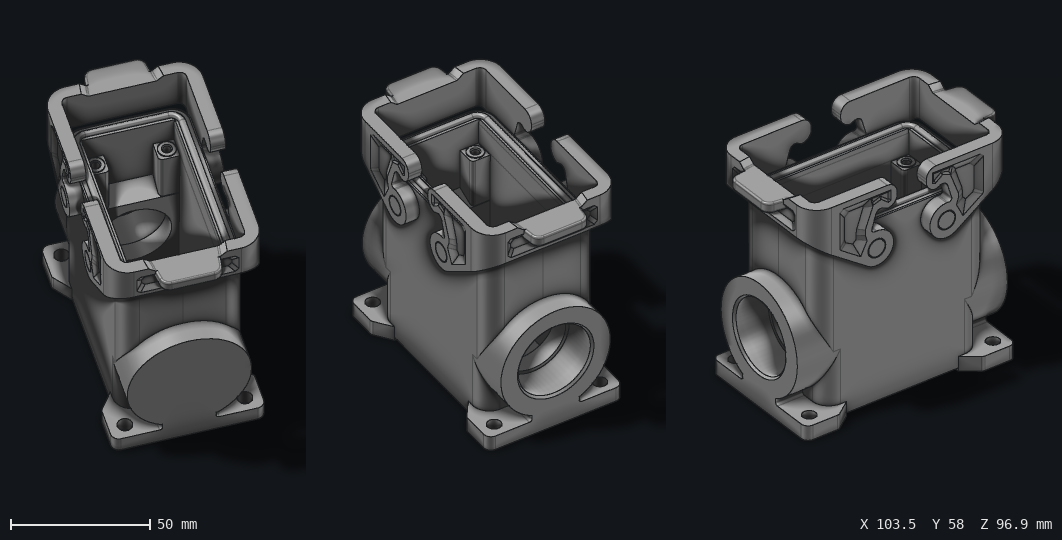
import cadquery as cq
import math

total_length = 103.5
total_height = 96.9

upper_half_x = 37.9
ridge_half_x = 38.2
lower_half_x = 34.8
body_half_y = 23.3
body_corner = 7.2
body_bottom = 1.3
rim_z = 79.9
rim_bevel_height = 0.2
rim_bevel_width = 0.6

bead_radius = 1.3
bead_half_x = 34.8
bead_half_y = 19.8
bead_corner = 4.1

cavity_half_x = 32.3
cavity_half_y = 17.1
cavity_mouth_half_y = 17.5
cavity_floor_half_x = 24.1
cavity_floor_half_y = 16.5
cavity_floor = 4.5
cavity_draft_z = 69.3
cavity_lip_z = 78.1
cavity_shoulder_z = 51.8
cavity_shoulder_drop = 3.7

post_x = 28.5
post_y = 13.4
post_inner_x = 24.3
post_inner_y = 9.2
post_corner = 1.6
seat_radius = 3.4
seat_height = 0.4
post_top = 69.3
screw_radius = 1.6
screw_depth = 10.4
screw_chamfer = 0.4

boss_end_x = 46.8
boss_radius = body_half_y
boss_z = 29.9
boss_root_x = 26.9
bore_radius = 15.3
bore_chamfer = 0.9
bore_end_x = 31.6
throat_radius = 13.9
neck_half_y = 10.0
neck_fillet = 1.1

foot_height = 6.3
foot_half_y = 28.7
foot_inner_x = 24.8
foot_bevel_x = 32.1
foot_bevel_fillet = 2.1
foot_corner = 3.1
foot_hole_x = 40.9
foot_hole_y = 22.5
foot_hole_radius = 2.8

lever_end_x = 44.7
lever_half_y = 29.0
lever_inner_x = 39.7
lever_outer_corner = 8.9
lever_inner_corner = 2.6
lever_end_bottom = 82.7
eye_x = 15.5
eye_z = 71.6
eye_radius = 7.5
pin_radius = 3.6
pin_clearance = 0.3
pin_groove_depth = 1.0
hook_tip_x = 6.5
hook_radius = 4.3
hook_bottom = 86.9
hook_throat = [(-12.8, 87.9), (-14.7, 87.9), (-16.0, 86.2)]
flank_end = (-17.8, 80.4)
flank_corner_mid = (-17.4, 79.4)
flank_corner_end_x = -16.1

cheek_depth = 1.6
cheek_mouth = [(-32.0, 92.9), (-30.3, 94.3), (-17.9, 94.3), (-17.3, 90.4), (-20.7, 81.5),
               (-20.7, 79.2), (-19.9, 76.6), (-22.8, 70.8), (-31.5, 76.8), (-32.0, 77.6)]
cheek_floor = [(-28.9, 89.0), (-26.9, 91.0), (-20.6, 91.0), (-20.5, 90.4), (-23.4, 82.1),
               (-23.8, 79.4), (-23.8, 77.6), (-25.0, 76.3), (-28.3, 78.0), (-28.9, 79.4)]
hook_recess = [(-18.6, 94.3), (-9.2, 94.3), (-9.2, 89.9), (-10.5, 89.4), (-13.7, 91.9), (-17.4, 90.7)]
hook_recess_depth = 0.5
hook_recess_taper = 60.0

end_recess_half_y = 19.0
end_recess_bottom = 84.4
end_recess_top = 93.0
end_recess_corner = 1.3
end_recess_depth = 1.6
end_recess_inset = 2.2

tab_top = 94.8
tab_bottom = 90.5
tab_tip_half_y = 11.2
tab_wall_half_y = 12.8
tab_corner = 3.6
tab_edge = 0.8
notch_flare = 2.6
notch_fillet = 1.0


def rounded_prism(half_x, half_y, corner, z_low, z_high):
    block = cq.Workplane("XY").box(2 * half_x, 2 * half_y, z_high - z_low, centered=(True, True, False))
    return block.edges("|Z").fillet(corner).translate((0, 0, z_low))


def mirrored_x(solid):
    return solid.union(solid.mirror("YZ"))


def housing_shell():
    corners = [
        (upper_half_x, body_half_y), (-upper_half_x, body_half_y), (-ridge_half_x, 0),
        (-upper_half_x, -body_half_y), (upper_half_x, -body_half_y), (ridge_half_x, 0),
    ]
    outline = cq.Sketch().polygon(corners + corners[:1]).vertices("<Y or >Y").fillet(body_corner)
    upper = cq.Workplane("XY", origin=(0, 0, boss_z)).placeSketch(outline).extrude(rim_z - boss_z)
    upper = upper.faces(">Z").edges().chamfer(rim_bevel_height, rim_bevel_width)
    lower = rounded_prism(lower_half_x, body_half_y, body_corner, body_bottom, boss_z)
    return upper.union(lower)


def sealing_bead():
    path = cq.Wire.assembleEdges(
        rounded_prism(bead_half_x, bead_half_y, bead_corner, rim_z, rim_z + bead_radius)
        .faces("<Z").wires().val().Edges()
    )
    start = path.startPoint()
    tangent = path.tangentAt(0)
    section = cq.Workplane(cq.Plane(origin=start, xDir=(0, 0, 1), normal=tangent)).circle(bead_radius)
    return section.sweep(cq.Workplane(path))


def cable_boss():
    length = boss_end_x - boss_root_x
    end_plane = cq.Workplane("YZ", origin=(-boss_end_x, 0, 0))
    boss = end_plane.center(0, boss_z).circle(boss_radius).extrude(length)
    fillet_centre_y = neck_half_y + neck_fillet
    fillet_centre_z = foot_height + neck_fillet
    fillet_mid_y = fillet_centre_y - neck_fillet * math.sqrt(0.5)
    fillet_mid_z = fillet_centre_z - neck_fillet * math.sqrt(0.5)
    neck = (
        end_plane
        .moveTo(-neck_half_y, boss_z)
        .lineTo(-neck_half_y, fillet_centre_z)
        .threePointArc((-fillet_mid_y, fillet_mid_z), (-fillet_centre_y, foot_height))
        .lineTo(-fillet_centre_y, body_bottom)
        .lineTo(fillet_centre_y, body_bottom)
        .lineTo(fillet_centre_y, foot_height)
        .threePointArc((fillet_mid_y, fillet_mid_z), (neck_half_y, fillet_centre_z))
        .lineTo(neck_half_y, boss_z)
        .close()
        .extrude(length)
    )
    return boss.union(neck)


def foot():
    plate = (
        cq.Workplane("XY")
        .polyline([
            (-boss_end_x, foot_half_y), (-foot_bevel_x, foot_half_y), (-foot_inner_x, body_half_y),
            (-foot_inner_x, -body_half_y), (-foot_bevel_x, -foot_half_y), (-boss_end_x, -foot_half_y),
        ])
        .close()
        .extrude(foot_height)
    )
    plate = plate.edges("|Z").edges("<X").fillet(foot_corner)
    plate = plate.edges("|Z").edges("<Y or >Y").edges(">X").fillet(foot_bevel_fillet)
    holes = (
        cq.Workplane("XY")
        .pushPoints([(-foot_hole_x, -foot_hole_y), (-foot_hole_x, foot_hole_y)])
        .circle(foot_hole_radius)
        .extrude(foot_height)
    )
    return plate.cut(holes)


def cavity():
    top = rim_z + bead_radius
    shoulder_end = cavity_shoulder_z - cavity_shoulder_drop
    lengthwise = (
        cq.Workplane("XZ", origin=(0, cavity_mouth_half_y, 0))
        .polyline([
            (-cavity_half_x, top), (-cavity_half_x, cavity_shoulder_z), (-cavity_floor_half_x, shoulder_end),
            (-cavity_floor_half_x, cavity_floor), (cavity_floor_half_x, cavity_floor),
            (cavity_floor_half_x, shoulder_end), (cavity_half_x, cavity_shoulder_z), (cavity_half_x, top),
        ])
        .close()
        .extrude(2 * cavity_mouth_half_y)
    )
    crosswise = (
        cq.Workplane("YZ", origin=(-cavity_half_x, 0, 0))
        .polyline([
            (-cavity_mouth_half_y, top), (-cavity_mouth_half_y, rim_z), (-cavity_half_y, cavity_lip_z),
            (-cavity_half_y, cavity_draft_z), (-cavity_floor_half_y, cavity_floor),
            (cavity_floor_half_y, cavity_floor), (cavity_half_y, cavity_draft_z),
            (cavity_half_y, cavity_lip_z), (cavity_mouth_half_y, rim_z), (cavity_mouth_half_y, top),
        ])
        .close()
        .extrude(2 * cavity_half_x)
    )
    return lengthwise.intersect(crosswise)


def screw_post(side_x, side_y):
    size_x = cavity_half_x - post_inner_x
    size_y = cavity_half_y - post_inner_y
    shoulder_z = post_top - seat_height
    post = cq.Workplane("XY").box(size_x, size_y, shoulder_z - cavity_floor, centered=(False, False, False))
    post = post.edges("|Z").edges("<X and <Y").fillet(post_corner)
    post = post.translate((post_inner_x, post_inner_y, cavity_floor))
    seat = cq.Workplane("XY", origin=(post_x, post_y, shoulder_z)).circle(seat_radius).extrude(seat_height)
    hole = (
        cq.Workplane("XY", origin=(post_x, post_y, post_top))
        .circle(screw_radius)
        .extrude(-screw_depth)
        .faces(">Z")
        .workplane()
        .circle(screw_radius + screw_chamfer)
        .workplane(offset=-screw_chamfer)
        .circle(screw_radius)
        .loft()
    )
    post = post.union(seat).cut(hole)
    if side_x < 0:
        post = post.mirror("YZ")
    if side_y < 0:
        post = post.mirror("XZ")
    return post


def cable_bore():
    return (
        cq.Workplane("XZ")
        .moveTo(-boss_end_x, boss_z)
        .lineTo(-boss_end_x, boss_z + bore_radius + bore_chamfer)
        .lineTo(-boss_end_x + bore_chamfer, boss_z + bore_radius)
        .lineTo(-bore_end_x, boss_z + bore_radius)
        .lineTo(-bore_end_x, boss_z + throat_radius)
        .lineTo(-cavity_floor_half_x, boss_z + throat_radius)
        .lineTo(-cavity_floor_half_x, boss_z)
        .close()
        .revolve(360, (-boss_end_x, boss_z, 0), (0, boss_z, 0))
    )


def lever_side_profile():
    reach_x = lever_end_x - eye_x
    reach_z = lever_end_bottom - eye_z
    tangent_angle = math.atan2(reach_z, -reach_x) + math.acos(eye_radius / math.hypot(reach_x, reach_z))
    tangent = (-eye_x + eye_radius * math.cos(tangent_angle), eye_z + eye_radius * math.sin(tangent_angle))
    eye_bottom_angle = 1.5 * math.pi
    lower_mid_angle = (tangent_angle + eye_bottom_angle) / 2
    hook_x = -hook_tip_x - hook_radius
    diagonal = hook_radius * math.sqrt(0.5)
    upper_z = total_height - hook_radius
    lower_z = hook_bottom + hook_radius
    eye_top = eye_z + eye_radius
    return (
        cq.Workplane("XZ", origin=(0, lever_half_y, 0))
        .moveTo(-lever_end_x, total_height)
        .lineTo(hook_x, total_height)
        .threePointArc((hook_x + diagonal, upper_z + diagonal), (-hook_tip_x, upper_z))
        .lineTo(-hook_tip_x, lower_z)
        .threePointArc((hook_x + diagonal, lower_z - diagonal), (hook_x, hook_bottom))
        .lineTo(*hook_throat[0])
        .threePointArc(hook_throat[1], hook_throat[2])
        .lineTo(*flank_end)
        .threePointArc(flank_corner_mid, (flank_corner_end_x, eye_top))
        .lineTo(-eye_x, eye_top)
        .threePointArc((-eye_x + eye_radius, eye_z), (-eye_x, eye_z - eye_radius))
        .threePointArc(
            (-eye_x + eye_radius * math.cos(lower_mid_angle), eye_z + eye_radius * math.sin(lower_mid_angle)),
            tangent,
        )
        .lineTo(-lever_end_x, lever_end_bottom)
        .close()
        .extrude(2 * lever_half_y)
    )


def cheek_recess():
    mouth = cq.Workplane("XZ", origin=(0, -lever_half_y, 0)).polyline(cheek_mouth).close()
    main = (
        mouth.workplane(offset=-cheek_depth)
        .polyline(cheek_floor)
        .close()
        .loft(ruled=True)
    )
    hook = (
        cq.Workplane("XZ", origin=(0, -lever_half_y, 0))
        .polyline(hook_recess)
        .close()
        .extrude(-hook_recess_depth, taper=hook_recess_taper)
    )
    return main.union(hook)


def pin_groove():
    return (
        cq.Workplane("XZ", origin=(0, -lever_half_y, 0))
        .center(-eye_x, eye_z)
        .circle(pin_radius + pin_clearance)
        .circle(pin_radius)
        .extrude(-pin_groove_depth)
    )


def chamfered_rectangle(width, height, corner):
    return cq.Sketch().rect(width, height).vertices().chamfer(corner)


def end_recess():
    height = end_recess_top - end_recess_bottom
    mouth = chamfered_rectangle(2 * end_recess_half_y, height, end_recess_corner)
    floor = chamfered_rectangle(2 * (end_recess_half_y - end_recess_inset), height - 2 * end_recess_inset,
                                end_recess_corner)
    return (
        cq.Workplane("YZ", origin=(-lever_end_x, 0, end_recess_bottom + height / 2))
        .placeSketch(mouth, floor.moved(cq.Location(cq.Vector(0, 0, end_recess_depth))))
        .loft(ruled=True)
    )


def trapezoid(plane, outer_x, outer_half_y, inner_x, inner_half_y):
    return plane.polyline([
        (-outer_x, outer_half_y), (-inner_x, inner_half_y),
        (-inner_x, -inner_half_y), (-outer_x, -outer_half_y),
    ]).close()


def finger_tab():
    tip_x = total_length / 2
    plane = cq.Workplane("XY", origin=(0, 0, tab_bottom))
    tab = trapezoid(plane, tip_x, tab_tip_half_y, lever_inner_x, tab_wall_half_y)
    tab = tab.extrude(tab_top - tab_bottom)
    tab = tab.edges("|Z").edges("<X").fillet(tab_corner)
    return tab.faces("<X").edges("|Y").fillet(tab_edge)


def tab_notch():
    slope = (tab_wall_half_y - tab_tip_half_y) / (total_length / 2 - lever_inner_x)
    outer_half_y = tab_wall_half_y - slope * (lever_end_x - lever_inner_x)
    floor = trapezoid(cq.Workplane("XY", origin=(0, 0, tab_top)),
                      lever_end_x, outer_half_y, lever_inner_x, tab_wall_half_y)
    notch = trapezoid(floor.workplane(offset=total_height - tab_top),
                      lever_end_x, outer_half_y + notch_flare,
                      lever_inner_x, tab_wall_half_y + notch_flare).loft(ruled=True)
    return notch.faces("<Z").edges("not |Y").fillet(notch_fillet)


def lever():
    depth = lever_end_x - hook_tip_x
    frame = cq.Workplane("XY").box(depth, 2 * lever_half_y, total_height, centered=(False, True, False))
    frame = frame.edges("|Z").edges("<X").fillet(lever_outer_corner).translate((-lever_end_x, 0, 0))
    opening = cq.Workplane("XY").box(depth, 2 * body_half_y, total_height, centered=(False, True, False))
    opening = opening.edges("|Z").edges("<X").fillet(lever_inner_corner).translate((-lever_inner_x, 0, 0))
    body = frame.cut(opening).intersect(lever_side_profile())
    recess = cheek_recess().union(pin_groove())
    body = body.cut(recess).cut(recess.mirror("XZ")).cut(end_recess()).cut(tab_notch())
    return body.union(finger_tab())


housing = housing_shell().union(sealing_bead()).union(mirrored_x(cable_boss())).union(mirrored_x(foot()))
housing = housing.cut(cavity())
for side_x in (-1, 1):
    for side_y in (-1, 1):
        housing = housing.union(screw_post(side_x, side_y))
housing = housing.cut(cable_bore())

left_lever = lever()
result = housing.union(left_lever).union(left_lever.mirror("YZ"))